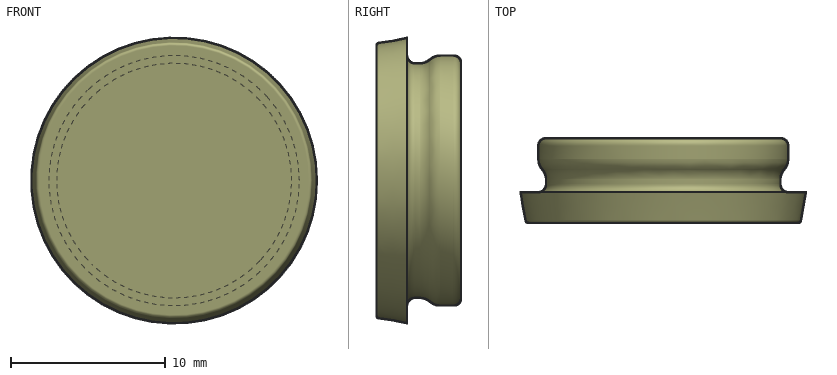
import cadquery as cq
import math

overall_length = 5.5
flange_radius = 9.25
flange_length = 2.0
flange_taper = 10.0
front_edge_fillet = 0.2
rim_radius = 8.1
neck_radius = 7.6
corner_radius = 0.5
neck_land_length = 0.33
shoulder_arc_radius = 0.96

front_radius = flange_radius - flange_length * math.tan(math.radians(flange_taper))
shoulder_rise = (rim_radius - neck_radius) / 2
shoulder_angle = math.acos(1 - shoulder_rise / shoulder_arc_radius)
shoulder_half_length = shoulder_arc_radius * math.sin(shoulder_angle)

neck_start = flange_length + corner_radius
neck_end = neck_start + neck_land_length
shoulder_middle = neck_end + shoulder_half_length
rim_start = shoulder_middle + shoulder_half_length
rim_end = overall_length - corner_radius


def make_flange():
    """Tapered front disc with a rounded front edge."""
    disc = (
        cq.Workplane("XY")
        .lineTo(front_radius, 0)
        .lineTo(flange_radius, flange_length)
        .lineTo(0, flange_length)
        .close()
        .revolve(360, (0, 0, 0), (0, 1, 0))
    )
    return disc.faces("<Y").edges().fillet(front_edge_fillet)


def make_plug():
    """Grooved rear plug, starting at the back of the flange."""
    return (
        cq.Workplane("XY")
        .moveTo(0, flange_length)
        .lineTo(neck_radius + corner_radius, flange_length)
        .radiusArc((neck_radius, neck_start), corner_radius)
        .lineTo(neck_radius, neck_end)
        .tangentArcPoint((neck_radius + shoulder_rise, shoulder_middle), relative=False)
        .tangentArcPoint((rim_radius, rim_start), relative=False)
        .lineTo(rim_radius, rim_end)
        .tangentArcPoint((rim_radius - corner_radius, overall_length), relative=False)
        .lineTo(0, overall_length)
        .close()
        .revolve(360, (0, 0, 0), (0, 1, 0))
    )


result = make_flange().union(make_plug())